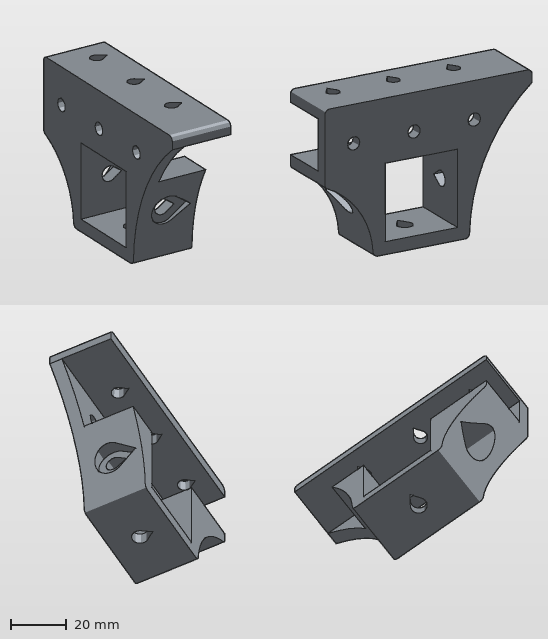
import cadquery as cq
import math

length = 86.0
depth = 25.0
height = 60.0
edge_radius = 2.0

stem_left = 20.0
left_flank_radius = 32.5
right_flank_radius = 71.2

wall = 5.0
channel_height = 20.0
window_size = 30.0
window_left = stem_left + wall
window_right = window_left + window_size
stem_right = window_right + wall
window_mid_x = (window_left + window_right) / 2
window_mid_z = wall + window_size / 2
channel_top = height - wall
channel_mid_z = channel_top - channel_height / 2

bolt_diameter = 5.0
bolt_pitch = 25.0
middle_bolt_x = 37.0
bolt_xs = [middle_bolt_x + i * bolt_pitch for i in (-1, 0, 1)]
channel_mid_y = (wall + depth) / 2

screw_diameter = 6.0
screw_head_diameter = 12.0
screw_y = 12.0

tip_half_angle = math.radians(35)


def bracket_body():
    """Extruded outline with concave flanks and rounded corners."""
    left_center_x = stem_left - left_flank_radius
    right_center_x = stem_right + right_flank_radius
    left_end_angle = math.acos(-left_center_x / left_flank_radius)
    right_end_angle = math.acos((right_center_x - length) / right_flank_radius)

    def left_flank(angle):
        return (left_center_x + left_flank_radius * math.cos(angle),
                left_flank_radius * math.sin(angle))

    def right_flank(angle):
        return (right_center_x - right_flank_radius * math.cos(angle),
                right_flank_radius * math.sin(angle))

    left_end = left_flank(left_end_angle)
    body = (
        cq.Workplane("XZ")
        .moveTo(stem_left, 0)
        .lineTo(stem_right, 0)
        .threePointArc(right_flank(right_end_angle / 2), right_flank(right_end_angle))
        .lineTo(length, height)
        .lineTo(0, height)
        .lineTo(*left_end)
        .threePointArc(left_flank(left_end_angle / 2), (stem_left, 0))
        .close()
        .extrude(-depth)
    )
    rounded_corners = [(stem_left, 0), (stem_right, 0), (length, height), (0, height), left_end]
    for x, z in rounded_corners:
        edge = cq.selectors.NearestToPointSelector((x, depth / 2, z))
        body = body.edges("|Y").edges(edge).fillet(edge_radius)
    return body


def teardrop(plane, diameter, span):
    """Teardrop prism with its tip along the plane's local y, which lies along +Y."""
    radius = diameter / 2
    tangent_x = radius * math.cos(tip_half_angle)
    tangent_y = radius * math.sin(tip_half_angle)
    tip_y = radius / math.sin(tip_half_angle)
    return (
        cq.Workplane(plane)
        .moveTo(0, tip_y)
        .lineTo(tangent_x, tangent_y)
        .threePointArc((0, -radius), (-tangent_x, tangent_y))
        .close()
        .extrude(span)
    )


def level_plane(x, y, z):
    """Horizontal plane for a teardrop cut upwards."""
    return cq.Plane(origin=(x, y, z), xDir=(1, 0, 0), normal=(0, 0, 1))


def side_plane(x):
    """Upright plane facing +X, on the axis of the side screws."""
    return cq.Plane(origin=(x, screw_y, window_mid_z), xDir=(0, 0, -1), normal=(1, 0, 0))


result = bracket_body()

channel = cq.Workplane("XY").box(length, depth - wall, channel_height)
result = result.cut(channel.translate((length / 2, channel_mid_y, channel_mid_z)))
window = cq.Workplane("XY").box(window_size, depth, window_size)
result = result.cut(window.translate((window_mid_x, depth / 2, window_mid_z)))

for x in bolt_xs:
    front_hole = cq.Workplane("XZ", origin=(x, 0, channel_mid_z)).circle(bolt_diameter / 2).extrude(-wall)
    result = result.cut(front_hole)
    result = result.cut(teardrop(level_plane(x, channel_mid_y, channel_top), bolt_diameter, wall))

result = result.cut(teardrop(level_plane(window_mid_x, screw_y, 0), screw_diameter, wall))

result = result.cut(teardrop(side_plane(0), screw_diameter, length))
result = result.cut(teardrop(side_plane(0), screw_head_diameter, stem_left))
result = result.cut(teardrop(side_plane(stem_right), screw_head_diameter, length - stem_right))